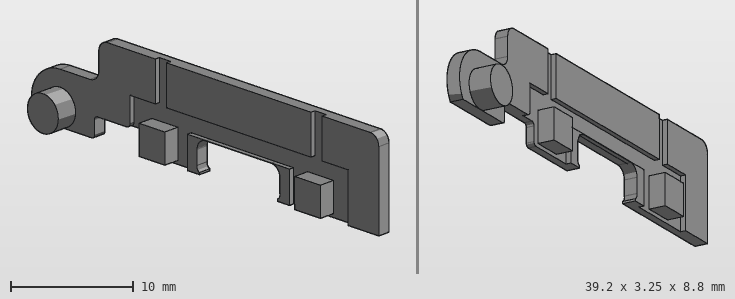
import cadquery as cq
import math

length = 39.22
height = 8.8
thickness = 1.2
corner_radius = 1.0

ear_radius = 3.25
ear_top = 5.05
ear_center_z = ear_top - ear_radius
step_x = 7.6
pin_diameter = 3.5
pin_front = 3.25

notch_left = 7.15
notch_right = 12.55
notch_height = 2.0
notch_radius = 0.3

recess_depth = 0.47
recess_left = 11.15
recess_right = 35.73
recess_top = 4.85
recess_radius = 0.4
channel_width = 1.25

pad_centers = (14.63, 32.2)
pad_size = 2.9
pad_bottom = 0.35
pad_front = 2.27

rim_left = 17.6
rim_right = 29.15
rim_top = 3.18
window_left = 18.7
window_right = 28.05
window_top = 3.15
window_radius = 1.0
lip_reach = 0.27
lip_height = 0.2
lip_rise = 0.55


def box(left, right, bottom, top, back, front):
    """Box between the given X and Z limits, from depth back to depth front."""
    return cq.Workplane("XY").box(
        right - left, front - back, top - bottom, centered=False
    ).translate((left, -front, bottom))


def round_edges(body, points, radius):
    """Fillet the edges along Y nearest to the given X, Z points."""
    for x, z in points:
        near = cq.selectors.NearestToPointSelector((x, -thickness / 2, z))
        body = body.edges("|Y").edges(near).fillet(radius)
    return body


def make_plate():
    """Plate outline with the ear, the stepped top and the bottom notch."""
    foot_x = ear_radius - math.sqrt(ear_radius**2 - ear_center_z**2)
    plate = (
        cq.Workplane("XZ")
        .moveTo(foot_x, 0)
        .threePointArc((0, ear_center_z), (ear_radius, ear_top))
        .lineTo(step_x, ear_top)
        .lineTo(step_x, height)
        .lineTo(length, height)
        .lineTo(length, 0)
        .close()
        .extrude(thickness)
    )
    plate = plate.cut(box(notch_left, notch_right, 0, notch_height, 0, thickness))

    top_corners = [(step_x, ear_top), (step_x, height), (length, height)]
    notch_corners = [(x, z) for x in (notch_left, notch_right) for z in (0, notch_height)]
    plate = round_edges(plate, top_corners, corner_radius)
    return round_edges(plate, notch_corners, notch_radius)


def make_recess():
    """Volume removed from the front face: wide recess plus two channels to the top."""
    floor = thickness - recess_depth
    recess = box(recess_left, recess_right, 0, recess_top, floor, thickness)
    flare = box(
        recess_left - recess_radius, recess_left,
        notch_height, notch_height + recess_radius, floor, thickness,
    )
    flare_round = (
        cq.Workplane("XZ", origin=(0, -floor, 0))
        .center(recess_left - recess_radius, notch_height + recess_radius)
        .circle(recess_radius)
        .extrude(recess_depth)
    )
    recess = recess.union(flare.cut(flare_round))
    for x in pad_centers:
        half = channel_width / 2
        recess = recess.union(box(x - half, x + half, 0, height, floor, thickness))
    return recess.cut(box(rim_left, rim_right, 0, rim_top, floor, thickness))


def make_window():
    """Window with rounded upper corners and small inward lips at its mouth."""
    bend = window_radius * (1 - math.sqrt(0.5))
    lip_left = window_left + lip_reach
    lip_right = window_right - lip_reach
    shoulder = window_top - window_radius
    lip_top = lip_height + lip_rise
    curve_x = lip_reach * (1 - math.sqrt(0.5))
    curve_z = lip_top - lip_rise * math.sqrt(0.5)
    return (
        cq.Workplane("XZ")
        .moveTo(lip_left, 0)
        .lineTo(lip_left, lip_height)
        .threePointArc((window_left + curve_x, curve_z), (window_left, lip_top))
        .lineTo(window_left, shoulder)
        .threePointArc(
            (window_left + bend, window_top - bend),
            (window_left + window_radius, window_top),
        )
        .lineTo(window_right - window_radius, window_top)
        .threePointArc((window_right - bend, window_top - bend), (window_right, shoulder))
        .lineTo(window_right, lip_top)
        .threePointArc((window_right - curve_x, curve_z), (lip_right, lip_height))
        .lineTo(lip_right, 0)
        .close()
        .extrude(thickness)
    )


def make_pin():
    """Round pin on the front of the ear, concentric with the ear in X."""
    radius = pin_diameter / 2
    return (
        cq.Workplane("XZ")
        .center(ear_radius, radius)
        .circle(radius)
        .extrude(pin_front)
    )


result = make_plate().cut(make_recess()).cut(make_window()).union(make_pin())
for pad_x in pad_centers:
    pad_left = pad_x - pad_size / 2
    pad = box(pad_left, pad_left + pad_size, pad_bottom, pad_bottom + pad_size, 0, pad_front)
    result = result.union(pad)